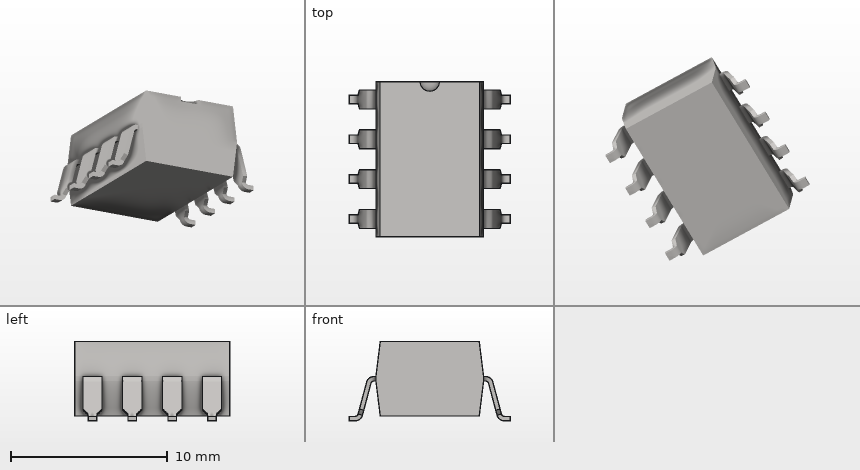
import cadquery as cq
import math


SPAN = 10.3
TOTAL_HEIGHT = 5.08

BODY_LENGTH = 9.91
BODY_WIDTH = 6.89
FACE_WIDTH = 6.33
STANDOFF = 0.31

NOTCH_RADIUS = 0.62
NOTCH_DEPTH = 0.3

LEADS_PER_ROW = 4
PITCH = 2.54
THICKNESS = 0.3
INNER_RADIUS = 0.2
WIDE = 1.23
NARROW = 0.56
SHOULDER_FLAT = 0.11
LEG_TILT = 15.0

BODY_MID_Z = (STANDOFF + TOTAL_HEIGHT) / 2
BAND_TOP = BODY_MID_Z + THICKNESS / 2
BAND_BOTTOM = BODY_MID_Z - THICKNESS / 2
OUTER_RADIUS = INNER_RADIUS + THICKNESS
BEND_ANGLE = 90 - LEG_TILT
TAPER_LENGTH = (WIDE - NARROW) / 2
TILT = math.radians(LEG_TILT)

DOWN_LEG = (math.sin(TILT), -math.cos(TILT))
OUT_OF_LEG = (math.cos(TILT), math.sin(TILT))

UPPER_CENTRE = (BODY_WIDTH / 2 + SHOULDER_FLAT, BAND_TOP - OUTER_RADIUS)
LOWER_CENTRE_Z = OUTER_RADIUS


def along(point, direction, distance):
    """Point reached from `point` after moving `distance` along a unit direction."""
    return (point[0] + direction[0] * distance, point[1] + direction[1] * distance)


LEG_TOP = along(UPPER_CENTRE, OUT_OF_LEG, OUTER_RADIUS)
LEG_BOTTOM_Z = LOWER_CENTRE_Z - INNER_RADIUS * math.sin(TILT)
LEG_LENGTH = (LEG_TOP[1] - LEG_BOTTOM_Z) / math.cos(TILT)
LEG_BOTTOM = along(LEG_TOP, DOWN_LEG, LEG_LENGTH)
LOWER_CENTRE = along(LEG_BOTTOM, OUT_OF_LEG, INNER_RADIUS)


def strip(length, width, start, y_centre):
    """Flat horizontal strip of lead running in +X from `start`, the (X, Z) of its lower edge."""
    return cq.Workplane("XY").box(length, width, THICKNESS, centered=(False, True, False)).translate(
        (start[0], y_centre, start[1])
    )


def bend(centre, first_angle, width, y_centre):
    """Curved piece of lead sweeping BEND_ANGLE about `centre`, starting at `first_angle` degrees."""

    def on_arc(radius, fraction):
        angle = math.radians(first_angle + fraction * BEND_ANGLE)
        return along(centre, (math.cos(angle), math.sin(angle)), radius)

    return (
        cq.Workplane("XZ", origin=(0, y_centre, 0))
        .moveTo(*on_arc(INNER_RADIUS, 0))
        .lineTo(*on_arc(OUTER_RADIUS, 0))
        .threePointArc(on_arc(OUTER_RADIUS, 0.5), on_arc(OUTER_RADIUS, 1))
        .lineTo(*on_arc(INNER_RADIUS, 1))
        .threePointArc(on_arc(INNER_RADIUS, 0.5), on_arc(INNER_RADIUS, 0))
        .close()
        .extrude(width / 2, both=True)
    )


def leg(y_centre):
    """Tilted flat plate, narrowed at its lower end to the foot width."""
    leg_plane = cq.Plane(
        origin=(LEG_TOP[0], y_centre, LEG_TOP[1]),
        xDir=(DOWN_LEG[0], 0, DOWN_LEG[1]),
        normal=(OUT_OF_LEG[0], 0, OUT_OF_LEG[1]),
    )
    outline = [
        (0, -WIDE / 2),
        (LEG_LENGTH - TAPER_LENGTH, -WIDE / 2),
        (LEG_LENGTH, -NARROW / 2),
        (LEG_LENGTH, NARROW / 2),
        (LEG_LENGTH - TAPER_LENGTH, WIDE / 2),
        (0, WIDE / 2),
    ]
    return cq.Workplane(leg_plane).polyline(outline).close().extrude(-THICKNESS)


def make_lead(y_centre, turn):
    """One lead of the +X row, turned about Z by `turn` degrees to reach its own row."""
    shoulder = strip(SHOULDER_FLAT, WIDE, (BODY_WIDTH / 2, BAND_BOTTOM), y_centre)
    upper_bend = bend(UPPER_CENTRE, LEG_TILT, WIDE, y_centre)
    lower_bend = bend(LOWER_CENTRE, 180 + LEG_TILT, NARROW, y_centre)
    foot = strip(SPAN / 2 - LOWER_CENTRE[0], NARROW, (LOWER_CENTRE[0], 0), y_centre)
    lead = shoulder.union(upper_bend).union(leg(y_centre)).union(lower_bend).union(foot)
    return lead.rotate((0, 0, 0), (0, 0, 1), turn)


def make_body():
    """Block with sloped long sides, a vertical band at mid height and the pin-one notch."""
    right_side = [
        (FACE_WIDTH / 2, STANDOFF),
        (BODY_WIDTH / 2, BAND_BOTTOM),
        (BODY_WIDTH / 2, BAND_TOP),
        (FACE_WIDTH / 2, TOTAL_HEIGHT),
    ]
    left_side = [(-x, z) for x, z in reversed(right_side)]
    block = cq.Workplane("XZ").polyline(right_side + left_side).close().extrude(BODY_LENGTH / 2, both=True)
    notch = (
        cq.Workplane("XY", origin=(0, BODY_LENGTH / 2, TOTAL_HEIGHT))
        .circle(NOTCH_RADIUS)
        .extrude(-NOTCH_DEPTH)
    )
    return block.cut(notch)


body = make_body()

leads = []
for row_turn in (0, 180):
    for index in range(LEADS_PER_ROW):
        lead_y = (index - (LEADS_PER_ROW - 1) / 2) * PITCH
        leads.append(make_lead(lead_y, row_turn).val())

result = cq.Compound.makeCompound([body.val(), *leads])